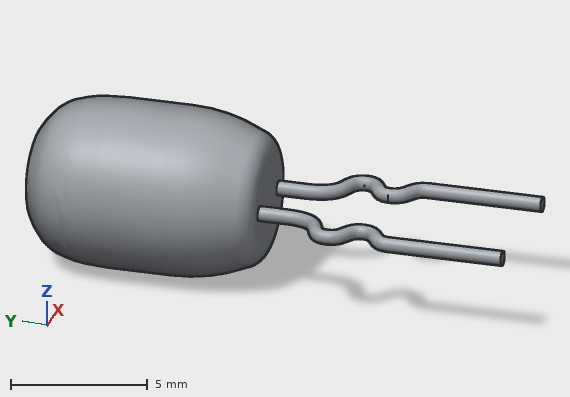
import cadquery as cq

total_length = 18.56

body_diameter = 6.3
body_radius = body_diameter / 2
body_length = 8.89
band_start = 3.35
band_end = 5.75
lead_face_radius = 1.75
rim_radius = 2.55
rim_depth = 0.6
taper_middle = (2.99, 1.9)
crown_radius = 0.75
crown_side = (3.0, 7.15)
crown_shoulder = (2.65, 8.02)
crown_top = (2.02, 8.6)

wire_radius = 0.28
inner_x = 1.2
outer_x = 2.55
waist_x = 1.7
bend_start = -1.02
outer_bend_y = -2.97
waist_y = -4.1
tail_y = -5.3
lead_end = body_length - total_length
first_bend_mid = (1.75, -2.25)
lead_embed = 0.55

DOWN = (0, -1)
UP = (0, 1)
INWARD = (-1, 0)


def make_body():
    """Revolve the half profile: rounded rim, taper, band and domed end."""
    profile = (
        cq.Workplane("XY")
        .lineTo(lead_face_radius, 0)
        .tangentArcPoint((rim_radius, rim_depth), relative=False)
        .threePointArc(taper_middle, (body_radius, band_start))
        .lineTo(body_radius, band_end)
        .spline(
            [crown_side, crown_shoulder, crown_top, (crown_radius, body_length)],
            tangents=[UP, INWARD],
            includeCurrent=True,
        )
        .lineTo(0, body_length)
        .close()
    )
    return profile.revolve(360, (0, 0), (0, 1))


def make_lead():
    """Sweep the wire of the +X lead along its kinked centre line."""
    path = (
        cq.Workplane("XY")
        .moveTo(inner_x, lead_embed)
        .lineTo(inner_x, bend_start)
        .spline([first_bend_mid, (outer_x, outer_bend_y)], tangents=[DOWN, DOWN], includeCurrent=True)
        .spline([(waist_x, waist_y)], tangents=[DOWN, DOWN], includeCurrent=True)
        .spline([(outer_x, tail_y)], tangents=[DOWN, DOWN], includeCurrent=True)
        .lineTo(outer_x, lead_end)
    )
    section = cq.Workplane("XZ", origin=(inner_x, lead_embed, 0)).circle(wire_radius)
    return section.sweep(path)


lead = make_lead()
result = make_body().union(lead).union(lead.mirror("YZ"))